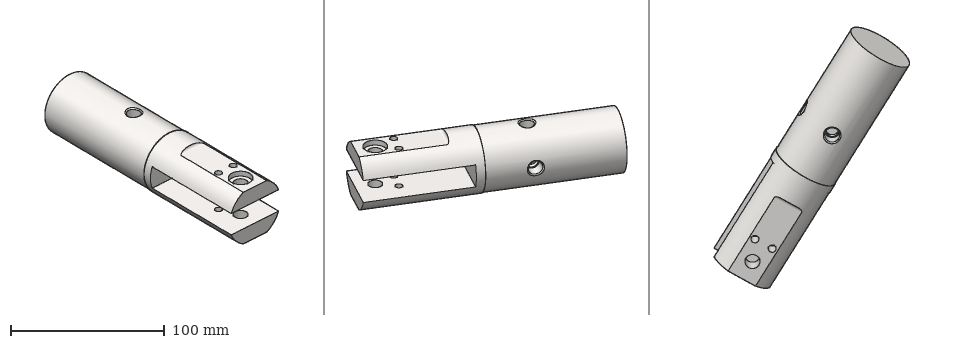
import cadquery as cq

total_length = 177.75
shank_diameter = 44.45
shank_length = 95.5
head_diameter = 45.21

slot_start = 101.9
slot_height = 16.6
flat_height = 40.2
flat_start = 116.0
flat_end_radius = 2.6

pin_hole_diameter = 9.7
pin_hole_to_end = 13.8
counterbore_diameter = 16.0
counterbore_depth = 3.81

small_hole_diameter = 5.1
small_hole_to_pin_hole = 14.2
small_hole_spacing = 13.0

side_hole_x = 61.6
mouth_diameter = 9.8
mouth_depth = 9.5
mouth_chamfer = 0.9
bore_diameter = 8.3
bore_depth = 12.7
side_hole_angles = (0, 90, 180)

shank_radius = shank_diameter / 2
pin_hole_x = total_length - pin_hole_to_end
small_hole_x = pin_hole_x - small_hole_to_pin_hole


def rod(diameter, start, end):
    """Cylinder about the X axis."""
    return cq.Workplane("YZ", origin=(start, 0, 0)).circle(diameter / 2).extrude(end - start)


def vertical_cylinder(diameter, x, y, bottom, top):
    """Cylinder parallel to Z."""
    return cq.Workplane("XY", origin=(x, y, bottom)).circle(diameter / 2).extrude(top - bottom)


def fork_slot():
    """Box that separates the two arms."""
    length = total_length - slot_start
    slot = cq.Workplane("XY").box(length, head_diameter, slot_height, centered=(False, True, True))
    return slot.translate((slot_start, 0, 0))


def upper_flat():
    """Stock above the upper arm, with its lower inner edge rounded."""
    length = total_length - flat_start
    stock = cq.Workplane("XY").box(length, head_diameter, head_diameter, centered=(False, True, False))
    stock = stock.edges("<X and <Z").fillet(flat_end_radius)
    return stock.translate((flat_start, 0, flat_height / 2))


def shank_with_side_holes():
    """Shank with stepped blind holes whose rims are chamfered."""
    shank = rod(shank_diameter, 0, shank_length)
    mouth = vertical_cylinder(mouth_diameter, side_hole_x, 0, shank_radius - mouth_depth, shank_diameter)
    bore = vertical_cylinder(bore_diameter, side_hole_x, 0, shank_radius - bore_depth, shank_radius)
    for angle in side_hole_angles:
        shank = shank.cut(mouth.rotate((0, 0, 0), (1, 0, 0), -angle))
    near_holes = cq.selectors.BoxSelector(
        (side_hole_x - mouth_diameter, -shank_diameter, -shank_diameter),
        (side_hole_x + mouth_diameter, shank_diameter, shank_diameter),
    )
    rims = shank.edges(near_holes).edges("not (%CIRCLE or %LINE)")
    shank = rims.chamfer(mouth_chamfer)
    for angle in side_hole_angles:
        shank = shank.cut(bore.rotate((0, 0, 0), (1, 0, 0), -angle))
    return shank


def arm_holes():
    """Pin hole with its counterbore, and the pair of small holes."""
    holes = vertical_cylinder(pin_hole_diameter, pin_hole_x, 0, -head_diameter, head_diameter)
    counterbore_floor = flat_height / 2 - counterbore_depth
    holes = holes.union(
        vertical_cylinder(counterbore_diameter, pin_hole_x, 0, counterbore_floor, head_diameter)
    )
    for side in (-1, 1):
        y = side * small_hole_spacing / 2
        holes = holes.union(
            vertical_cylinder(small_hole_diameter, small_hole_x, y, -head_diameter, head_diameter)
        )
    return holes


head = rod(head_diameter, shank_length, total_length)
head = head.cut(fork_slot())
head = head.cut(upper_flat())
head = head.cut(upper_flat().mirror("XY"))
head = head.cut(arm_holes())

result = shank_with_side_holes().union(head)